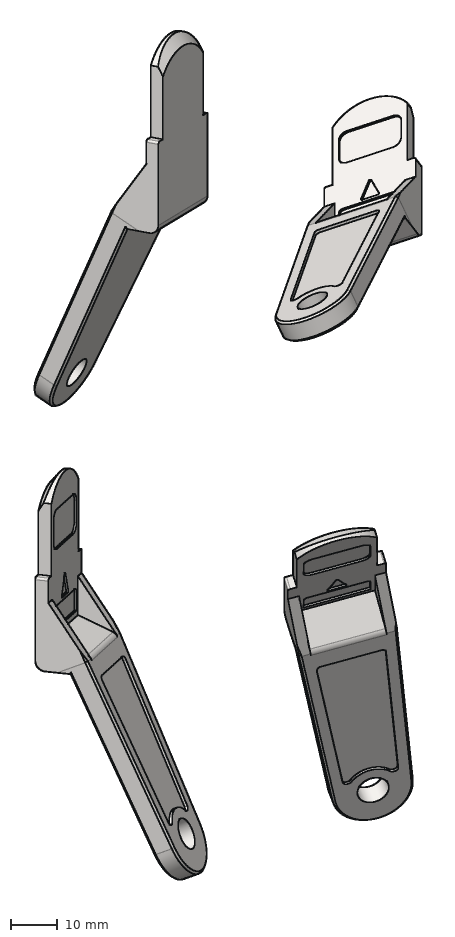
import cadquery as cq
import math


plate_thickness = 3.0
plate_width = 18.0
tip_radius = 11.0
bevel_axis_drop = 14.1
bevel_radius_back = 11.64
bevel_tip_land = 0.85

hub_width = 22.0
shoulder_drop = 21.0
shoulder_fillet = 0.5
slope_drop = 26.5
hub_bottom_drop = 42.1
hub_corner_radius = 2.2

pocket_width = 17.0
floor_back_drop = 35.3
floor_angle = 20.4
floor_lip_radius = 1.9

arm_angle = 25.0
arm_root_x = -11.8
arm_root_drop = 38.84
arm_thickness = 5.0
arm_chamfer = 0.5
runout_length = 3.5
hole_distance = 44.5
arm_end_radius = 9.0
hole_diameter = 7.0

recess_margin = 3.0
recess_start = 4.6
recess_end = 40.7
recess_hole_clearance_radius = 6.0
recess_corner_radius = 0.9
recess_depth = 0.7

mark_depth = 0.5
mark_width = 15.0
upper_mark_drop = 7.0
upper_mark_height = 9.0
upper_mark_radius = 2.0
lower_mark_drop = 28.8
lower_mark_height = 5.2
lower_mark_radius = 1.0
arrow_drop = 22.6
arrow_height = 5.5
arrow_width = 4.6
arrow_radius = 0.3

arm_sin = math.sin(math.radians(arm_angle))
arm_cos = math.cos(math.radians(arm_angle))
hub_half = hub_width / 2
tangent_swing = math.acos(arm_end_radius / math.hypot(hole_distance, hub_half))
taper_angle = tangent_swing - math.atan2(hole_distance, hub_half)
tangent_along = hole_distance + arm_end_radius * math.sin(taper_angle)
tangent_half = arm_end_radius * math.cos(taper_angle)

root_depth = (hub_bottom_drop - arm_root_drop) / arm_sin

arm_plane = cq.Plane(
    origin=(arm_root_x, 0, -arm_root_drop),
    xDir=(-arm_sin, 0, -arm_cos),
    normal=(arm_cos, 0, -arm_sin),
)
plate_front = cq.Workplane("YZ", origin=(-plate_thickness, 0, 0))


def arm_point(along, into):
    """Global (X, Z) of a point given along the arm and into its thickness."""
    x = arm_root_x - along * arm_sin + into * arm_cos
    z = -arm_root_drop - along * arm_cos - into * arm_sin
    return (x, z)


def extrude_profile(points, width):
    """Extrude a closed XZ polygon symmetrically about Y = 0."""
    return cq.Workplane("XZ").polyline(points).close().extrude(width / 2, both=True)


def make_plate():
    """Upright plate with a round tip and a conical bevel on the back of it."""
    half = plate_width / 2
    side_top = math.sqrt(tip_radius**2 - half**2) - tip_radius
    plate = (
        plate_front.moveTo(-half, -floor_back_drop)
        .lineTo(-half, side_top)
        .threePointArc((0, 0), (half, side_top))
        .lineTo(half, -floor_back_drop)
        .close()
        .extrude(plate_thickness)
    )
    bevel_depth = plate_thickness - bevel_tip_land
    bevel_slope = (bevel_axis_drop - bevel_radius_back) / bevel_depth
    bevel_radius_front = bevel_radius_back + bevel_slope * plate_thickness
    cone = (
        plate_front.center(0, -bevel_axis_drop)
        .circle(bevel_radius_front)
        .workplane(offset=plate_thickness)
        .circle(bevel_radius_back)
        .loft()
    )
    bevel_waste = (
        plate_front.center(0, -bevel_axis_drop / 2)
        .rect(hub_width, bevel_axis_drop)
        .extrude(plate_thickness)
        .cut(cone)
    )
    return plate.cut(bevel_waste)


def make_hub():
    """Full-width block that carries the plate and the root of the arm."""
    hub = extrude_profile(
        [
            (0, -shoulder_drop),
            (-plate_thickness, -shoulder_drop),
            (-plate_thickness, -slope_drop),
            arm_point(0, 0),
            arm_point(0, root_depth),
            (0, -hub_bottom_drop),
        ],
        hub_width,
    )
    hub = hub.edges("|Y and >X and <Z").fillet(hub_corner_radius)
    hub = hub.faces(">Z").edges("|X").fillet(shoulder_fillet)
    return hub.cut(make_chamfer_runouts())


def make_chamfer_runouts():
    """Arm edge chamfers carried into the hub until its sloped faces fall away from them."""
    section_plane = cq.Plane(
        origin=arm_plane.origin,
        xDir=(0, 1, 0),
        normal=(arm_sin, 0, arm_cos),
    )
    runout = (
        cq.Workplane(section_plane)
        .moveTo(hub_half, 0)
        .lineTo(hub_half - arm_chamfer, 0)
        .lineTo(hub_half, -arm_chamfer)
        .close()
        .extrude(runout_length)
    )
    return runout.union(runout.mirror("XZ"))


def arm_blank(thickness):
    """Tapered arm outline with its rounded end, extruded from the arm face."""
    return (
        cq.Workplane(arm_plane)
        .moveTo(0, -hub_half)
        .lineTo(tangent_along, -tangent_half)
        .threePointArc((hole_distance + arm_end_radius, 0), (tangent_along, tangent_half))
        .lineTo(0, hub_half)
        .close()
        .extrude(thickness)
    )


def make_arm():
    """Arm with both faces chamfered along every edge except those at the root."""
    root_centre = arm_plane.toWorldCoords((0, 0, arm_thickness / 2))
    arm = arm_blank(arm_thickness)
    root_edges = arm.faces(cq.selectors.NearestToPointSelector(root_centre)).edges().vals()
    rim_faces = arm.faces(cq.selectors.ParallelDirSelector(arm_plane.zDir))
    rim = [
        edge
        for edge in rim_faces.edges().vals()
        if not any(edge.isSame(root_edge) for root_edge in root_edges)
    ]
    return arm.newObject(rim).chamfer(arm_chamfer)


def make_root_fill():
    """Wedge behind the arm that continues the tapered sides up to the hub underside."""
    back_along = (hub_bottom_drop - arm_root_drop - arm_thickness * arm_sin) / arm_cos
    wedge = extrude_profile(
        [
            arm_point(0, arm_thickness / 2),
            arm_point(0, root_depth),
            arm_point(back_along, arm_thickness),
        ],
        hub_width,
    )
    return wedge.intersect(arm_blank(root_depth))


def make_hub_pocket():
    """Cutter between the side walls, with a rounded lip where its floor meets the arm face."""
    slope = math.tan(math.radians(floor_angle))
    floor_rise = floor_back_drop - arm_root_drop - slope * (arm_root_x + plate_thickness)
    lip_along = floor_rise / (arm_cos - slope * arm_sin)
    past_lip = lip_along + floor_lip_radius
    outside = -arm_thickness
    pocket = extrude_profile(
        [
            (-plate_thickness, -floor_back_drop),
            arm_point(lip_along, 0),
            arm_point(past_lip, 0),
            arm_point(past_lip, outside),
            arm_point(0, outside),
            (-plate_thickness, -shoulder_drop),
        ],
        pocket_width,
    )
    lip_x, lip_z = arm_point(lip_along, 0)
    lip = cq.selectors.NearestToPointSelector((lip_x, 0, lip_z))
    return pocket.edges(lip).fillet(floor_lip_radius)


def make_arm_recess():
    """Cutter that follows the tapered sides and curves around the hole."""

    def half_width(along):
        edge_half = (arm_end_radius - (along - hole_distance) * math.sin(taper_angle)) / math.cos(taper_angle)
        return edge_half - recess_margin

    start_half = half_width(recess_start)
    end_half = half_width(recess_end)
    arc_half = math.sqrt(recess_hole_clearance_radius**2 - (hole_distance - recess_end) ** 2)
    return (
        cq.Workplane(arm_plane)
        .moveTo(recess_start, -start_half)
        .lineTo(recess_end, -end_half)
        .lineTo(recess_end, -arc_half)
        .threePointArc((hole_distance - recess_hole_clearance_radius, 0), (recess_end, arc_half))
        .lineTo(recess_end, end_half)
        .lineTo(recess_start, start_half)
        .close()
        .extrude(recess_depth)
        .edges(cq.selectors.ParallelDirSelector(arm_plane.zDir))
        .fillet(recess_corner_radius)
    )


def make_hole():
    """Cutter for the round hole through the arm end."""
    return cq.Workplane(arm_plane).center(hole_distance, 0).circle(hole_diameter / 2).extrude(arm_thickness)


def make_plate_marks():
    """Two rectangular recesses and a triangular arrow between them."""
    upper = (
        plate_front.center(0, -upper_mark_drop - upper_mark_height / 2)
        .rect(mark_width, upper_mark_height)
        .extrude(mark_depth)
        .edges("|X")
        .fillet(upper_mark_radius)
    )
    lower = (
        plate_front.center(0, -lower_mark_drop - lower_mark_height / 2)
        .rect(mark_width, lower_mark_height)
        .extrude(mark_depth)
        .edges("|X and >Z")
        .fillet(lower_mark_radius)
    )
    arrow = (
        plate_front.moveTo(0, -arrow_drop)
        .lineTo(-arrow_width / 2, -arrow_drop - arrow_height)
        .lineTo(arrow_width / 2, -arrow_drop - arrow_height)
        .close()
        .extrude(mark_depth)
        .edges("|X")
        .fillet(arrow_radius)
    )
    return upper.union(lower).union(arrow)


body = make_plate().union(make_hub()).union(make_root_fill()).union(make_arm())
for cutter in (make_hub_pocket(), make_arm_recess(), make_hole(), make_plate_marks()):
    body = body.cut(cutter)

result = body